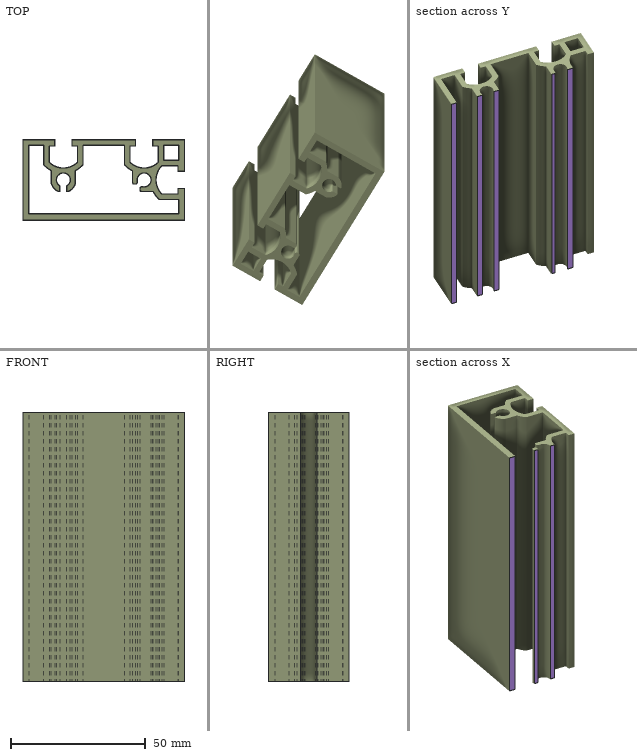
import cadquery as cq
import math

CELL = 30.0
LENGTH = 100.0
HALF_CELL = CELL / 2
LEFT_CELL = (-HALF_CELL, 0.0)
RIGHT_CELL = (HALF_CELL, 0.0)

SIDE_WALL = 2.2
FRONT_WALL = 2.5
SLOT_SIDE_WALL = 2.2

SLOT_OPENING = 6.3
SLOT_WIDTH = 10.4
SLOT_LIP = 2.5
SLOT_FLOOR = 4.45
SLOT_FLOOR_RADIUS = 7.5
SLOT_FLOOR_CENTRE = SLOT_FLOOR + SLOT_FLOOR_RADIUS

CHANNEL_WALL = 2.15
CHANNEL_HALF = SLOT_WIDTH / 2 + CHANNEL_WALL
CHANNEL_ARC_RADIUS = SLOT_FLOOR_RADIUS + CHANNEL_WALL

BORE_RADIUS = 2.55
BOSS_TOP = SLOT_FLOOR

BOSS_HALF = 4.5
BOSS_END_RADIUS = 4.7
BOSS_END = 4.35
BOSS_GAP = 2.5
BOSS_TIP_FILLET = 0.55

CORNER_BOSS_HALF = 4.35
CORNER_GAP_OFFSET = 1.6
CORNER_OUTER_FILLET = 0.7
CORNER_INNER_FILLET = 0.9

BACK_FACE = 0.0
RIGHT_FACE = -90.0


def extrude(sketch):
    return sketch.extrude(LENGTH)


def block(x_min, x_max, y_min, y_max):
    """Full-length block between the given X and Y limits."""
    centre = ((x_min + x_max) / 2, (y_min + y_max) / 2)
    return extrude(cq.Workplane("XY").center(*centre).rect(x_max - x_min, y_max - y_min))


def cylinder(radius):
    return extrude(cq.Workplane("XY").circle(radius))


def place(shape, cell, angle=BACK_FACE):
    """Turn a shape drawn for a +Y slot about Z, then move it to a cell centre."""
    return shape.rotate((0, 0, 0), (0, 0, 1), angle).translate((*cell, 0))


def outer_frame():
    """Rectangular tube two cells wide and one cell deep."""
    inner = block(
        -CELL + SIDE_WALL, CELL - SIDE_WALL,
        -HALF_CELL + FRONT_WALL, HALF_CELL - SLOT_SIDE_WALL,
    )
    return block(-CELL, CELL, -HALF_CELL, HALF_CELL).cut(inner)


def floor_arc_height(radius, x):
    """Height at x of an arc concentric with the T-slot floor."""
    return SLOT_FLOOR_CENTRE - math.sqrt(radius**2 - x**2)


def arched_block(half_width, arc_radius, top):
    """Block up to the given height with an arched bottom, concentric with the slot floor."""
    arc_end = floor_arc_height(arc_radius, half_width)
    return extrude(
        cq.Workplane("XY")
        .moveTo(-half_width, top)
        .lineTo(-half_width, arc_end)
        .threePointArc((0, floor_arc_height(arc_radius, 0)), (half_width, arc_end))
        .lineTo(half_width, top)
        .close()
    )


def channel_body():
    """Solid channel that surrounds a T-slot by an even wall."""
    return arched_block(CHANNEL_HALF, CHANNEL_ARC_RADIUS, HALF_CELL)


def slot_void():
    """T-slot space: narrow mouth, wider chamber and an arched floor."""
    chamber = arched_block(SLOT_WIDTH / 2, SLOT_FLOOR_RADIUS, HALF_CELL - SLOT_LIP)
    mouth = block(-SLOT_OPENING / 2, SLOT_OPENING / 2, SLOT_FLOOR_CENTRE, HALF_CELL)
    return chamber.union(mouth)


def round_tips(boss, radius, tips):
    """Round the lengthwise edge nearest to each given tip point."""
    for x, y in tips:
        nearest = cq.selectors.NearestToPointSelector((x, y, LENGTH / 2))
        boss = boss.edges("|Z").edges(nearest).fillet(radius)
    return boss


def straight_boss():
    """C-shaped boss with a rounded end and a gap facing -Y."""
    column = block(-BOSS_HALF, BOSS_HALF, -BOSS_END, BOSS_TOP)
    end_disc = cylinder(BOSS_END_RADIUS)
    shoulder = block(-BOSS_HALF, BOSS_HALF, 0, BOSS_TOP)
    boss = column.intersect(end_disc).union(shoulder)
    boss = boss.cut(cylinder(BORE_RADIUS))
    boss = boss.cut(block(-BOSS_GAP / 2, BOSS_GAP / 2, -BOSS_END, 0))
    tip_x = math.sqrt(BOSS_END_RADIUS**2 - BOSS_END**2)
    return round_tips(boss, BOSS_TIP_FILLET, [(-tip_x, -BOSS_END), (tip_x, -BOSS_END)])


def corner_boss():
    """Square boss whose -X -Y corner is removed, leaving two round-tipped legs."""
    end = -CORNER_GAP_OFFSET
    boss = block(-CORNER_BOSS_HALF, BOSS_TOP, -CORNER_BOSS_HALF, BOSS_TOP)
    boss = boss.cut(cylinder(BORE_RADIUS))
    boss = boss.cut(block(-CORNER_BOSS_HALF, end, -CORNER_BOSS_HALF, end))
    bore_edge = -math.sqrt(BORE_RADIUS**2 - CORNER_GAP_OFFSET**2)
    boss = round_tips(boss, CORNER_OUTER_FILLET, [(-CORNER_BOSS_HALF, end), (end, -CORNER_BOSS_HALF)])
    return round_tips(boss, CORNER_INNER_FILLET, [(bore_edge, end), (end, bore_edge)])


SLOTS = [(LEFT_CELL, BACK_FACE), (RIGHT_CELL, BACK_FACE), (RIGHT_CELL, RIGHT_FACE)]

result = outer_frame()
for cell, angle in SLOTS:
    result = result.union(place(channel_body(), cell, angle))
result = result.union(place(straight_boss(), LEFT_CELL))
result = result.union(place(corner_boss(), RIGHT_CELL))
for cell, angle in SLOTS:
    result = result.cut(place(slot_void(), cell, angle))
for cell in (LEFT_CELL, RIGHT_CELL):
    result = result.cut(place(cylinder(BORE_RADIUS), cell))